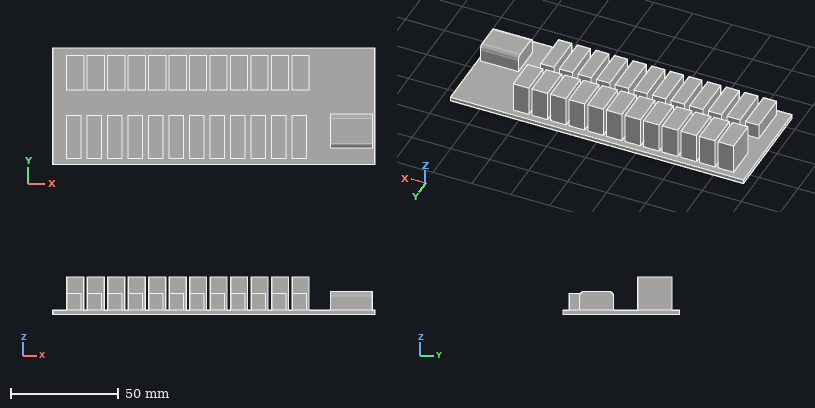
import cadquery as cq

BOARD_LENGTH = 150.5
BOARD_WIDTH = 54.5
BOARD_THICKNESS = 2.1
OVERALL_HEIGHT = 17.6

COMPONENT_COUNT = 12
ROW_PITCH_SPAN = 105.2
COMPONENT_PITCH = ROW_PITCH_SPAN / (COMPONENT_COUNT - 1)
ROW_START_X = 6.6

RELAY_WIDTH = 8.0
RELAY_DEPTH = 16.1
RELAY_HEIGHT = OVERALL_HEIGHT - BOARD_THICKNESS
RELAY_BACK_MARGIN = 3.5
RELAY_FRONT_Y = BOARD_WIDTH - RELAY_BACK_MARGIN - RELAY_DEPTH

TERMINAL_WIDTH = 6.8
TERMINAL_DEPTH = 20.0
TERMINAL_HEIGHT = 7.8
TERMINAL_FRONT_Y = 2.9

CONNECTOR_LENGTH = 19.5
CONNECTOR_DEPTH = 15.8
CONNECTOR_HEIGHT = 8.7
CONNECTOR_RIGHT_MARGIN = 1.2
CONNECTOR_FRONT_Y = 7.8
CONNECTOR_EDGE_RADIUS = 2.1
CONNECTOR_LEFT_X = BOARD_LENGTH - CONNECTOR_RIGHT_MARGIN - CONNECTOR_LENGTH


def block_on_board(left_x, front_y, length, depth, height):
    """Rectangular block standing on the top face of the board."""
    block = cq.Workplane("XY").box(length, depth, height, centered=False)
    return block.translate((left_x, front_y, BOARD_THICKNESS))


def make_board():
    return cq.Workplane("XY").box(BOARD_LENGTH, BOARD_WIDTH, BOARD_THICKNESS, centered=False)


def make_connector():
    body = block_on_board(
        CONNECTOR_LEFT_X, CONNECTOR_FRONT_Y, CONNECTOR_LENGTH, CONNECTOR_DEPTH, CONNECTOR_HEIGHT
    )
    return body.faces(">Z").edges("|X").fillet(CONNECTOR_EDGE_RADIUS)


result = make_board()
for index in range(COMPONENT_COUNT):
    component_x = ROW_START_X + index * COMPONENT_PITCH
    relay = block_on_board(component_x, RELAY_FRONT_Y, RELAY_WIDTH, RELAY_DEPTH, RELAY_HEIGHT)
    terminal = block_on_board(
        component_x, TERMINAL_FRONT_Y, TERMINAL_WIDTH, TERMINAL_DEPTH, TERMINAL_HEIGHT
    )
    result = result.union(relay).union(terminal)
result = result.union(make_connector())